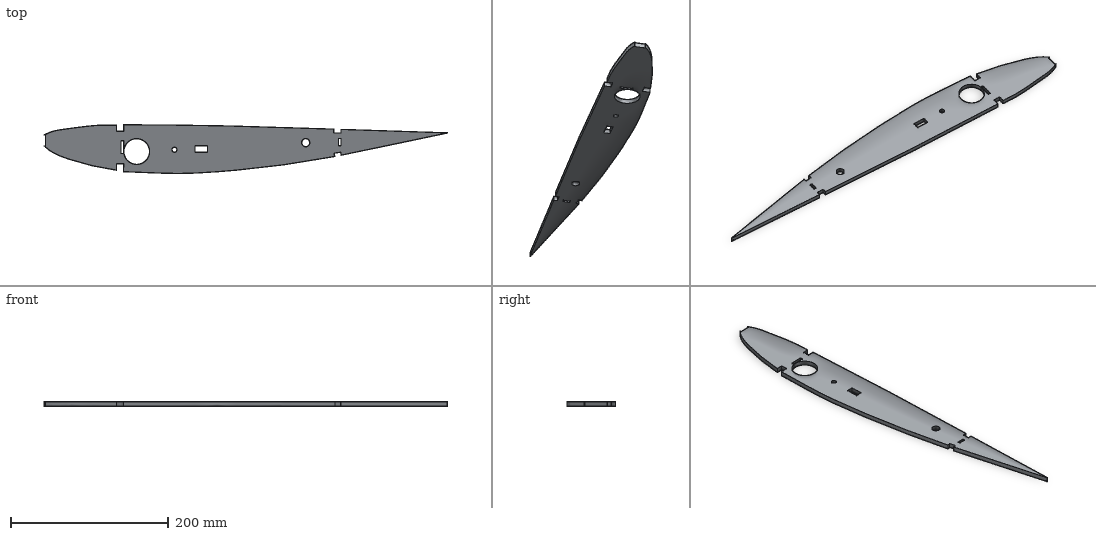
import cadquery as cq

CHORD = 512.27
DEPTH = 62.21
THICKNESS = 6.0
TOP_Y = 10.3
BOTTOM_Y = TOP_Y - DEPTH

NOSE_TOP_Y = -2.8
NOSE_BOTTOM_Y = -16.6
NOSE_RECESS = 1.8

FRONT_LEFT_X = 92.3
FRONT_RIGHT_X = 101.0
FRONT_UPPER_FLOOR_Y = 1.9
FRONT_LOWER_FLOOR_Y = -39.6
REAR_LEFT_X = 368.2
REAR_RIGHT_X = 377.0
REAR_UPPER_FLOOR_Y = -0.2
REAR_LOWER_FLOOR_LEFT = (368.3, -26.2)
REAR_LOWER_FLOOR_RIGHT = (376.6, -24.9)

TRAILING_EDGE_DEPTH = 0.5

SLOT_WIDTH = 3.0
RECTANGULAR_HOLES = [
    (99.5, -18.2, SLOT_WIDTH, 16.0),
    (375.5, -12.0, SLOT_WIDTH, 9.0),
    (199.7, -20.6, 15.5, 8.0),
]

ROUND_HOLES = [
    (117.6, -23.9, 32.4),
    (165.6, -21.6, 6.0),
    (332.3, -12.6, 10.0),
]

NOSE_UPPER_EDGE = [(0, NOSE_TOP_Y), (10.0, 1.5), (35.0, 5.9), (65.0, 9.35), (FRONT_LEFT_X, 9.5)]
MIDDLE_UPPER_EDGE = [
    (FRONT_RIGHT_X, TOP_Y),
    (130.0, 10.2),
    (170.0, 9.8),
    (241.0, 8.6),
    (300.0, 6.8),
    (REAR_LEFT_X, 4.7),
]
TAIL_UPPER_EDGE = [(REAR_RIGHT_X, 4.4), (CHORD, 0)]
TAIL_LOWER_EDGE = [(CHORD, -TRAILING_EDGE_DEPTH), (377.3, -28.7)]
MIDDLE_LOWER_EDGE = [
    (369.3, -30.3),
    (300.0, -41.4),
    (220.0, -49.7),
    (170.0, BOTTOM_Y),
    (125.0, -50.5),
    (100.7, -49.6),
]
NOSE_LOWER_EDGE = [(FRONT_LEFT_X, -47.8), (62.0, -42.2), (35.0, -34.7), (10.0, -24.5), (0, NOSE_BOTTOM_Y)]


def rib_plate():
    """Aerofoil plate with an upper and a lower notch at both spar stations."""
    return (
        cq.Workplane("XY")
        .moveTo(*NOSE_UPPER_EDGE[0])
        .spline(NOSE_UPPER_EDGE[1:], includeCurrent=True)
        .lineTo(FRONT_LEFT_X, FRONT_UPPER_FLOOR_Y)
        .lineTo(FRONT_RIGHT_X, FRONT_UPPER_FLOOR_Y)
        .lineTo(*MIDDLE_UPPER_EDGE[0])
        .spline(MIDDLE_UPPER_EDGE[1:], includeCurrent=True)
        .lineTo(REAR_LEFT_X, REAR_UPPER_FLOOR_Y)
        .lineTo(REAR_RIGHT_X, REAR_UPPER_FLOOR_Y)
        .lineTo(*TAIL_UPPER_EDGE[0])
        .lineTo(*TAIL_UPPER_EDGE[-1])
        .lineTo(*TAIL_LOWER_EDGE[0])
        .lineTo(*TAIL_LOWER_EDGE[-1])
        .lineTo(*REAR_LOWER_FLOOR_RIGHT)
        .lineTo(*REAR_LOWER_FLOOR_LEFT)
        .lineTo(*MIDDLE_LOWER_EDGE[0])
        .spline(MIDDLE_LOWER_EDGE[1:], includeCurrent=True)
        .lineTo(FRONT_RIGHT_X, FRONT_LOWER_FLOOR_Y)
        .lineTo(FRONT_LEFT_X, FRONT_LOWER_FLOOR_Y)
        .lineTo(*NOSE_LOWER_EDGE[0])
        .spline(NOSE_LOWER_EDGE[1:], includeCurrent=True)
        .lineTo(NOSE_RECESS, NOSE_BOTTOM_Y)
        .lineTo(NOSE_RECESS, NOSE_TOP_Y)
        .close()
        .extrude(THICKNESS)
    )


def rectangular_cutter(x, y, length, width):
    """Block through the full plate thickness."""
    return cq.Workplane("XY").center(x, y).rect(length, width).extrude(THICKNESS)


def round_cutter(x, y, diameter):
    """Cylinder through the full plate thickness."""
    return cq.Workplane("XY").center(x, y).circle(diameter / 2).extrude(THICKNESS)


result = rib_plate()
for hole in ROUND_HOLES:
    result = result.cut(round_cutter(*hole))
for hole in RECTANGULAR_HOLES:
    result = result.cut(rectangular_cutter(*hole))